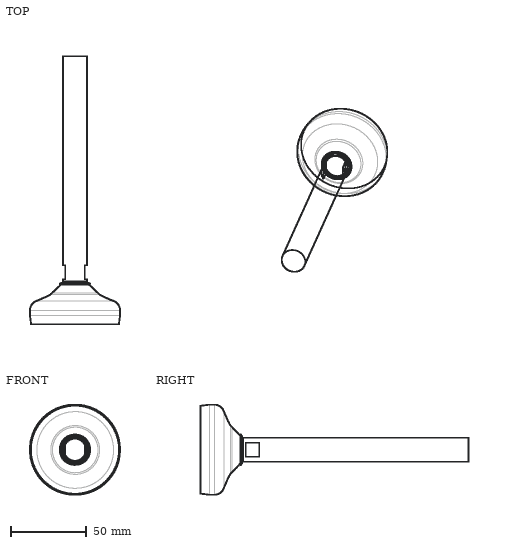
import cadquery as cq
import math

TOTAL_LENGTH = 178.0

STEM_RADIUS = 8.0
STEM_CHAMFER = 0.7
FLATS_WIDTH = 13.0
FLATS_START = 30.0
FLATS_LENGTH = 9.0

FOOT_DIAMETER = 60.0
FOOT_RADIUS = FOOT_DIAMETER / 2
SOLE_RADIUS = 29.2
SIDE_START = 6.0
SIDE_END = 9.3
SHOULDER_RADIUS = 25.5
SHOULDER_HEIGHT = 15.7
FLARE_SAG = 0.2
CONE_BASE_RADIUS = 16.2
CONE_BASE_HEIGHT = 20.0
DOME_BASE_RADIUS = 15.1
DOME_BASE_HEIGHT = 21.0
DOME_TOP_RADIUS = 9.5
DOME_TOP_HEIGHT = 26.3
LIP_RADIUS = 10.1
LIP_HEIGHT = 26.9
FOOT_TOP_RADIUS = 8.9
FOOT_TOP = 27.8


def revolve_about_y(profile):
    """Revolve a closed XY profile a full turn about the Y axis."""
    return profile.close().revolve(360, (0, 0, 0), (0, 1, 0))


def shoulder_midpoint():
    """Middle of the arc that leaves the foot's side tangentially and ends at the shoulder."""
    run = FOOT_RADIUS - SHOULDER_RADIUS
    rise = SHOULDER_HEIGHT - SIDE_END
    arc_radius = (run**2 + rise**2) / (2 * run)
    half_angle = math.asin(rise / arc_radius) / 2
    return (
        FOOT_RADIUS - arc_radius * (1 - math.cos(half_angle)),
        SIDE_END + arc_radius * math.sin(half_angle),
    )


def flare_midpoint():
    """Middle of the shallow concave arc between the shoulder and the cone."""
    run = SHOULDER_RADIUS - CONE_BASE_RADIUS
    rise = CONE_BASE_HEIGHT - SHOULDER_HEIGHT
    chord = math.hypot(run, rise)
    return (
        (SHOULDER_RADIUS + CONE_BASE_RADIUS) / 2 - FLARE_SAG * rise / chord,
        (SHOULDER_HEIGHT + CONE_BASE_HEIGHT) / 2 - FLARE_SAG * run / chord,
    )


def make_foot():
    """Round foot with its sole at Y = 0, narrowing to a thin lip under the stem."""
    profile = (
        cq.Workplane("XY")
        .lineTo(SOLE_RADIUS, 0)
        .lineTo(FOOT_RADIUS, SIDE_START)
        .lineTo(FOOT_RADIUS, SIDE_END)
        .threePointArc(shoulder_midpoint(), (SHOULDER_RADIUS, SHOULDER_HEIGHT))
        .threePointArc(flare_midpoint(), (CONE_BASE_RADIUS, CONE_BASE_HEIGHT))
        .lineTo(DOME_BASE_RADIUS, DOME_BASE_HEIGHT)
        .tangentArcPoint((DOME_TOP_RADIUS, DOME_TOP_HEIGHT), relative=False)
        .lineTo(LIP_RADIUS, LIP_HEIGHT)
        .lineTo(FOOT_TOP_RADIUS, FOOT_TOP)
        .lineTo(0, FOOT_TOP)
    )
    return revolve_about_y(profile)


def make_stem():
    """Plain rod with a chamfered lower end that stands on the foot."""
    profile = (
        cq.Workplane("XY")
        .moveTo(0, FOOT_TOP)
        .lineTo(STEM_RADIUS - STEM_CHAMFER, FOOT_TOP)
        .lineTo(STEM_RADIUS, FOOT_TOP + STEM_CHAMFER)
        .lineTo(STEM_RADIUS, TOTAL_LENGTH)
        .lineTo(0, TOTAL_LENGTH)
    )
    return cut_wrench_flats(revolve_about_y(profile))


def cut_wrench_flats(stem):
    """Cut two parallel wrench flats, facing -X and +X, near the lower end."""
    flat_depth = STEM_RADIUS - FLATS_WIDTH / 2
    for side in (-1, 1):
        cutter = cq.Workplane("XY").box(flat_depth, FLATS_LENGTH, 2 * STEM_RADIUS).translate(
            (side * (FLATS_WIDTH + flat_depth) / 2, FLATS_START + FLATS_LENGTH / 2, 0)
        )
        stem = stem.cut(cutter)
    return stem


foot = make_foot()
stem = make_stem()

result = cq.Compound.makeCompound([foot.val(), stem.val()])